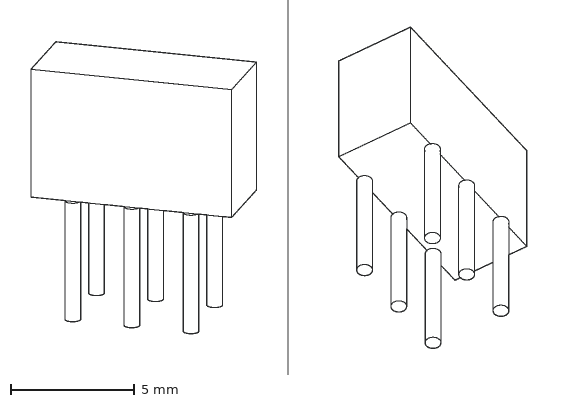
import cadquery as cq

housing_length = 8.5
housing_width = 3.5
total_height = 10.6
pin_length = 5.1
housing_height = total_height - pin_length

pin_diameter = 0.65
pins_per_row = 3
pin_pitch = 2.5
pin_span = 3.95
row_spacing = pin_span - pin_diameter


def make_housing():
    """Plain block whose underside lies at Z = 0."""
    return cq.Workplane("XY").box(
        housing_length, housing_width, housing_height, centered=(True, True, False)
    )


def make_pin(x, y):
    """Round pin hanging from the underside of the housing, partly beyond its long side."""
    return cq.Workplane("XY").center(x, y).circle(pin_diameter / 2).extrude(-pin_length)


housing = make_housing()

pins = []
for row_y in (-row_spacing / 2, row_spacing / 2):
    for index in range(pins_per_row):
        pin_x = (index - (pins_per_row - 1) / 2) * pin_pitch
        pins.append(make_pin(pin_x, row_y))

result = cq.Compound.makeCompound([housing.val(), *[pin.val() for pin in pins]])